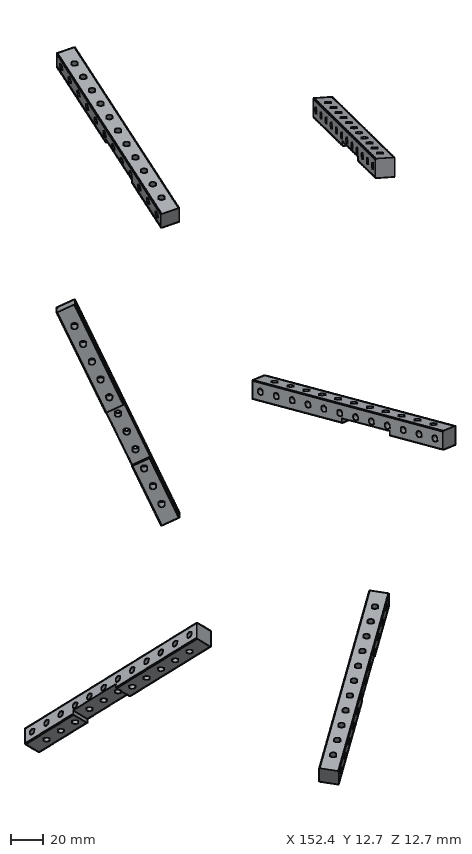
import cadquery as cq

length = 152.4
pitch_count = 12
pitch = length / pitch_count
side = pitch
edge_chamfer = 0.5
hole_diameter = 4.1

relief_start = 71.6
relief_length = 3 * pitch
relief_depth = 3.2


def bar():
    """Bar along X, centred on the origin, with chamfered long edges."""
    return cq.Workplane("XY").box(length, side, side).edges("|X").chamfer(edge_chamfer)


def hole_row(plane, count):
    """Centred row of through-hole cutters, one pitch apart along X."""
    return (
        cq.Workplane(plane)
        .rarray(pitch, 1.5, count, 1)
        .circle(hole_diameter / 2)
        .extrude(side, both=True)
    )


def underside_relief():
    """Rectangular cutter spanning the full width of the bar."""
    return (
        cq.Workplane("XY")
        .box(relief_length, side, relief_depth, centered=(False, True, False))
        .translate((relief_start - length / 2, 0, -side / 2))
    )


side_holes = hole_row("XZ", pitch_count)
vertical_holes = hole_row("XY", pitch_count - 1)

result = bar().cut(side_holes).cut(vertical_holes).cut(underside_relief())